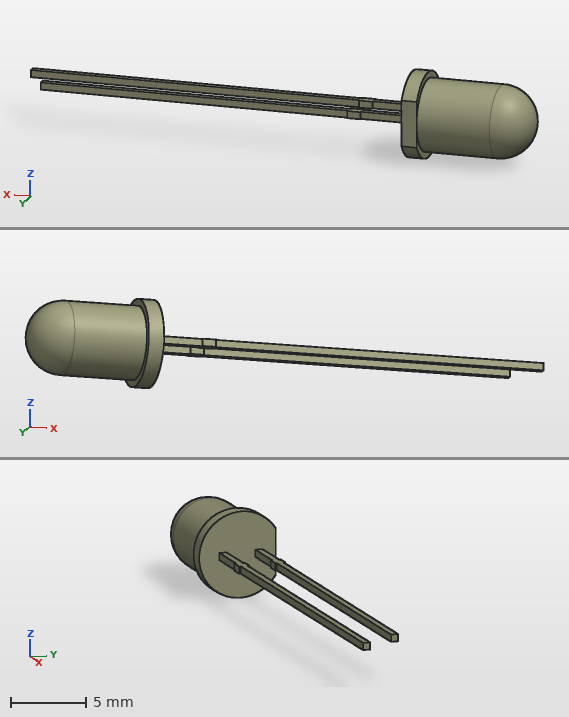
import cadquery as cq

total_length = 35.6
body_radius = 2.5
flange_diameter = 5.9
flange_start = 7.55
flange_end = 8.6

lead_width = 0.5
lead_pitch = 2.55
lead_length_difference = 1.5
stop_start = 11.75
stop_length = 0.93
stop_width = 0.7


def make_lens():
    """Cylinder with a hemispherical tip, running to the back of the flange."""
    dome = cq.Workplane("XY").sphere(body_radius).translate((body_radius, 0, 0))
    barrel = (
        cq.Workplane("YZ", origin=(body_radius, 0, 0))
        .circle(body_radius)
        .extrude(flange_end - body_radius)
    )
    return barrel.union(dome)


def make_flange():
    """Round rim with a flat on its +Y side, flush with the barrel."""
    thickness = flange_end - flange_start
    rim = (
        cq.Workplane("YZ", origin=(flange_start, 0, 0))
        .circle(flange_diameter / 2)
        .extrude(thickness)
    )
    kept_side = cq.Workplane("XY").box(
        thickness, flange_diameter, flange_diameter, centered=(False, False, True)
    )
    kept_side = kept_side.translate((flange_start, body_radius - flange_diameter, 0))
    return rim.intersect(kept_side)


def make_lead(center_y, end_x):
    """Square wire with a wider stop a short way behind the flange."""
    wire = cq.Workplane("XY").box(
        end_x - flange_end, lead_width, lead_width, centered=(False, True, True)
    )
    stop = cq.Workplane("XY").box(
        stop_length, stop_width, lead_width, centered=(False, True, True)
    )
    wire = wire.translate((flange_end, center_y, 0))
    stop = stop.translate((stop_start, center_y, 0))
    return wire.union(stop)


long_lead = make_lead(-lead_pitch / 2, total_length)
short_lead = make_lead(lead_pitch / 2, total_length - lead_length_difference)
result = make_lens().union(make_flange()).union(long_lead).union(short_lead)